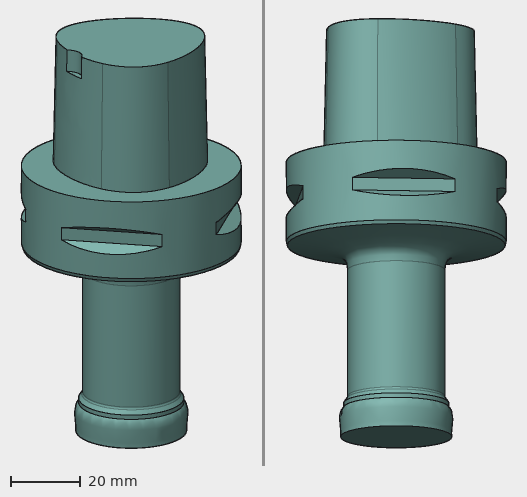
import cadquery as cq
import math

total_height = 118.0
flange_top = 80.2
flange_rim_bottom = 57.0
underside_top = 55.9
head_top = 8.5

flange_radius = 63.0 / 2
flange_edge_bevel = 0.4
neck_radius = 28.0 / 2
underside_slope = 0.11
underside_pull_radius = 16.4
neck_blend_pull = 4.7
neck_blend_bottom = 48.6

collar_radius = 15.1
collar_flare_top = 11.8
collar_flare_bottom = 11.1
collar_flare_step = 0.2
collar_cone_bottom = 9.8

shank_base_radius = 22.0
shank_tip_radius = 21.1
lobe_height = 1.4
lobe_faces = 6
points_per_face = 9

notch_depth = 6.5
notch_radius = 5.0
notch_center_y = -22.8

slot_count = 4
slot_first_angle = 45
slot_height = 68.1
slot_floor_distance = 27.8
slot_floor_width = 3.7
slot_mouth_width = 7.9

head_shoulder_height = 7.5
head_shoulder_radius = 15.8
head_belly_height = 3.5
head_belly_radius = 16.2
head_bottom_radius = 15.9


def revolve_profile(profile):
    """Turn a closed XZ profile around the Z axis."""
    return profile.close().revolve(360, (0, 0, 0), (0, 1, 0))


def make_flange_and_neck():
    """Flange, curved underside flowing into the neck, and the end collar."""
    underside_radius = flange_radius - flange_edge_bevel
    pull_drop = underside_slope * (underside_radius - underside_pull_radius)

    underside_curve = [
        (underside_radius, underside_top),
        (underside_pull_radius, underside_top - pull_drop),
        (neck_radius, neck_blend_bottom + neck_blend_pull),
        (neck_radius, neck_blend_bottom),
    ]

    profile = (
        cq.Workplane("XZ")
        .moveTo(0, flange_top)
        .lineTo(flange_radius, flange_top)
        .lineTo(flange_radius, flange_rim_bottom)
        .lineTo(underside_radius, underside_top)
        .bezier(underside_curve)
        .lineTo(neck_radius, collar_flare_top)
        .tangentArcPoint((neck_radius + collar_flare_step, collar_flare_bottom), relative=False)
        .lineTo(collar_radius, collar_cone_bottom)
        .lineTo(collar_radius, head_top)
        .lineTo(0, head_top)
    )
    return revolve_profile(profile)


def lobe_point(mean_radius, angle, height):
    """Point on the three-lobed outline, which has one lobe pointing to +Y."""
    x = mean_radius * math.cos(angle) - lobe_height * math.sin(2 * angle)
    y = mean_radius * math.sin(angle) - lobe_height * math.cos(2 * angle)
    return cq.Vector(x, y, height)


def lobe_outline(mean_radius, height):
    """Closed wire of equal-angle spline pieces around the lobed outline."""
    face_angle = 2 * math.pi / lobe_faces
    angle_step = face_angle / (points_per_face - 1)
    edges = []
    for face in range(lobe_faces):
        start_angle = face * face_angle
        points = [
            lobe_point(mean_radius, start_angle + i * angle_step, height)
            for i in range(points_per_face)
        ]
        edges.append(cq.Edge.makeSpline(points))
    return cq.Wire.assembleEdges(edges)


def make_shank():
    """Tapered lobed shank standing on the flange."""
    base = lobe_outline(shank_base_radius, flange_top)
    tip = lobe_outline(shank_tip_radius, total_height)
    return cq.Workplane(cq.Solid.makeLoft([base, tip], True))


def make_notch():
    """Round key notch cut down from the shank tip on its -Y face."""
    return (
        cq.Workplane("XY", origin=(0, notch_center_y, total_height - notch_depth))
        .circle(notch_radius)
        .extrude(notch_depth)
    )


def make_slot(angle):
    """Straight gripper slot with a flat floor and flared walls."""
    slot_depth = flange_radius - slot_floor_distance
    flare = (slot_mouth_width - slot_floor_width) / 2
    mouth_half = slot_mouth_width / 2
    floor_half = slot_floor_width / 2
    return (
        cq.Workplane("XZ")
        .moveTo(slot_floor_distance, slot_height - floor_half)
        .lineTo(flange_radius, slot_height - mouth_half)
        .lineTo(flange_radius + slot_depth, slot_height - mouth_half - flare)
        .lineTo(flange_radius + slot_depth, slot_height + mouth_half + flare)
        .lineTo(flange_radius, slot_height + mouth_half)
        .lineTo(slot_floor_distance, slot_height + floor_half)
        .close()
        .extrude(flange_radius, both=True)
        .rotate((0, 0, 0), (0, 0, 1), angle)
    )


def make_holder():
    """Tool holder: flange, neck and shank with the slots and notch cut."""
    body = make_flange_and_neck().union(make_shank()).cut(make_notch())
    for index in range(slot_count):
        body = body.cut(make_slot(slot_first_angle + index * 360 / slot_count))
    return body.solids()


def make_head():
    """Cutting head with a smoothly rounded shoulder and a slightly bellied side."""
    side_points = [
        (head_belly_radius, head_belly_height),
        (head_shoulder_radius, head_shoulder_height),
        (collar_radius, head_top),
    ]
    profile = (
        cq.Workplane("XZ")
        .moveTo(0, 0)
        .lineTo(head_bottom_radius, 0)
        .spline(side_points, includeCurrent=True)
        .lineTo(0, head_top)
    )
    return revolve_profile(profile)


holder = make_holder()
head = make_head()
result = cq.Compound.makeCompound([holder.val(), head.val()])